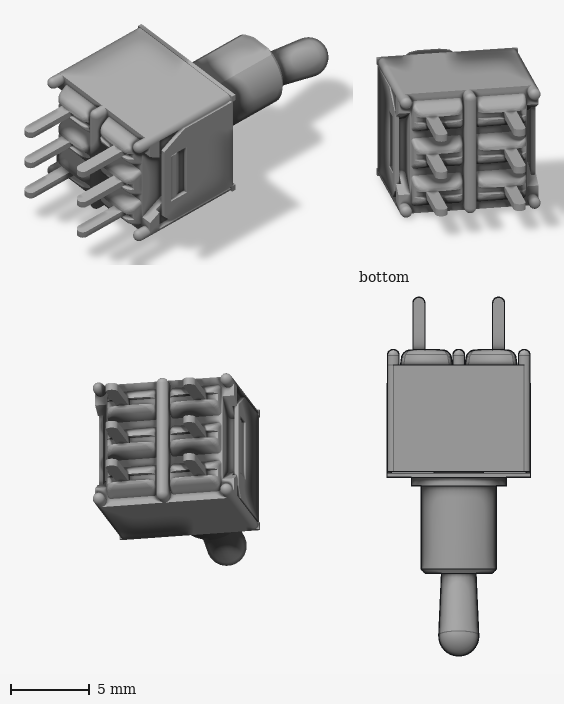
import cadquery as cq
import math


CASE_LENGTH = 6.78
CASE_HALF_HEIGHT = 4.07
POST_DIAMETER = 0.75
CORNER_RADIUS = POST_DIAMETER / 2
STANDOFF = 0.62

BRACKET_WIDTH = 9.14
BRACKET_HEIGHT = 8.0
SHEET = 0.27
BEND_RADIUS = 0.35
BRACKET_GAP = 0.1
LEG_HALF_HEIGHT = 3.55
LEG_END = 1.16
UPPER_CLIP_START = 2.88
UPPER_CLIP_Z = 2.54
LOWER_CLIP_START = 1.78
LOWER_CLIP_Z = -2.9

BRACKET_OVERHANG = 0.02
CASE_HALF_WIDTH = BRACKET_WIDTH / 2 - BRACKET_OVERHANG
POST_X = CASE_HALF_WIDTH - CORNER_RADIUS
POST_Z = CASE_HALF_HEIGHT - CORNER_RADIUS
LEG_INNER = BRACKET_WIDTH / 2 - SHEET
PLATE_BACK = CASE_LENGTH + BRACKET_GAP
PLATE_FRONT = PLATE_BACK + SHEET
COLLAR_DIAMETER = 3.17

RECESS_START = 0.78
RECESS_FLOOR = LEG_INNER - BRACKET_GAP
NOTCH_FLOOR = 3.8
NOTCH_DEPTH = 1.71
NOTCH_MOUTH = 2.76
LATCH_HALF_HEIGHT = 1.75
LATCH_CREST = 2.22
LATCH_TOP = 2.79
LATCH_RISE = 0.3
NOTCH_FILLET = 0.25
WINDOW_HALF_HEIGHT = 1.92
WINDOW_TOP = 3.05

WASHER_DIAMETER = 6.05
WASHER_THICKNESS = 0.55
BUSHING_DIAMETER = 4.8
BUSHING_Z = -0.07
BUSHING_END = 13.27
BUSHING_CHAMFER = 0.27
BUSHING_FLAT_Z = 1.95
WASHER_END = PLATE_FRONT + WASHER_THICKNESS
LEVER_PIVOT = 10.0
LEVER_TILT = 11.9
LEVER_LENGTH = 7.4
LEVER_ROOT_RADIUS = 0.95
LEVER_BALL_RADIUS = 1.28

PITCH = 2.54
PIN_TIP = 4.32
PIN_WIDTH = 0.78
PIN_THICKNESS = 0.45
SLOT_FLOOR = 0.55
MOUND_X = 2.05
MOUND_WIDTH = 3.31
MOUND_HEIGHT = 2.05
MOUND_DEPTH = 1.0
MOUND_EDGE_DEPTH = 0.9
MOUND_SIDE_ANGLE = 28.0
MOUND_END_ANGLE = 8.0
MOUND_END_ROUND = 0.6
MOUND_SIDE_ROUND = 0.65
MOUND_CORNER = 0.23


def block(x, y, z):
    """Box from (low, high) pairs along each axis."""
    size = (x[1] - x[0], y[1] - y[0], z[1] - z[0])
    return cq.Workplane("XY").box(*size, centered=False).translate((x[0], y[0], z[0]))


def rod(diameter, y_start, y_end, x=0, z=0):
    """Cylinder along Y."""
    plane = cq.Workplane(cq.Plane((x, y_start, z), (1, 0, 0), (0, 1, 0)))
    return plane.circle(diameter / 2).extrude(y_end - y_start)


def rod_along_z(radius, x, y, half_length):
    """Cylinder along Z, centred on Z = 0."""
    return cq.Workplane("XY", origin=(x, y, -half_length)).circle(radius).extrude(2 * half_length)


def side_prism(points, x_inner, x_outer):
    """Prism along +X from a (Y, Z) outline."""
    return cq.Workplane("YZ", origin=(x_inner, 0, 0)).polyline(points).close().extrude(x_outer - x_inner)


def both_sides(shape):
    """The shape together with its mirror image across X = 0."""
    return shape.union(shape.mirror("YZ"))


def casing():
    """Block with rounded edges; each side has a bracket recess, a notch and a latch."""
    body = block(
        (-CASE_HALF_WIDTH, CASE_HALF_WIDTH), (0, CASE_LENGTH), (-CASE_HALF_HEIGHT, CASE_HALF_HEIGHT)
    ).edges("|Y").fillet(CORNER_RADIUS)
    recess = block((RECESS_FLOOR, BRACKET_WIDTH / 2), (RECESS_START, CASE_LENGTH), (-POST_Z, POST_Z))
    notch = side_prism(
        [
            (0, -NOTCH_MOUTH),
            (0, NOTCH_MOUTH),
            (NOTCH_DEPTH, LATCH_HALF_HEIGHT),
            (NOTCH_DEPTH, -LATCH_HALF_HEIGHT),
        ],
        NOTCH_FLOOR,
        BRACKET_WIDTH / 2,
    )
    notch = notch.faces(">Y").edges("<X").fillet(NOTCH_FILLET)
    latch = (
        cq.Workplane("XY", origin=(0, 0, -LATCH_HALF_HEIGHT))
        .moveTo(RECESS_FLOOR, NOTCH_DEPTH)
        .lineTo(RECESS_FLOOR + LATCH_RISE, NOTCH_DEPTH)
        .lineTo(RECESS_FLOOR + LATCH_RISE, LATCH_CREST)
        .lineTo(RECESS_FLOOR, LATCH_TOP)
        .close()
        .extrude(2 * LATCH_HALF_HEIGHT)
    )
    return body.cut(both_sides(recess.union(notch))).union(both_sides(latch))


def posts():
    """Four corner posts and a central staple, all with round ends."""
    web = block((-CORNER_RADIUS, CORNER_RADIUS), (-STANDOFF, RECESS_START), (-POST_Z, POST_Z))
    staple = rod_along_z(CORNER_RADIUS, 0, -STANDOFF, POST_Z).union(web)
    for x in (-POST_X, 0, POST_X):
        for z in (-POST_Z, POST_Z):
            ball = cq.Workplane("XY").sphere(CORNER_RADIUS).translate((x, -STANDOFF, z))
            staple = staple.union(rod(POST_DIAMETER, -STANDOFF, RECESS_START, x, z)).union(ball)
    return staple


def bracket():
    """Front plate with a bent leg along each side of the casing."""
    half_width = BRACKET_WIDTH / 2
    half_height = BRACKET_HEIGHT / 2
    plate = block((-half_width, half_width), (PLATE_BACK, PLATE_FRONT), (-half_height, half_height))
    bend_zone = block(
        (LEG_INNER, half_width),
        (PLATE_FRONT - BEND_RADIUS, PLATE_FRONT),
        (-LEG_HALF_HEIGHT, LEG_HALF_HEIGHT),
    )
    bend_core = rod_along_z(
        BEND_RADIUS, half_width - BEND_RADIUS, PLATE_FRONT - BEND_RADIUS, LEG_HALF_HEIGHT
    )
    bend_waste = bend_zone.cut(bend_core)
    plate = plate.cut(both_sides(bend_waste))
    leg = side_prism(
        [
            (PLATE_BACK, LEG_HALF_HEIGHT),
            (UPPER_CLIP_START, LEG_HALF_HEIGHT),
            (LEG_END, UPPER_CLIP_Z),
            (LEG_END, LOWER_CLIP_Z),
            (LOWER_CLIP_START, -LEG_HALF_HEIGHT),
            (PLATE_BACK, -LEG_HALF_HEIGHT),
        ],
        LEG_INNER,
        half_width,
    ).cut(bend_waste)
    window = block(
        (LEG_INNER, half_width), (NOTCH_DEPTH, WINDOW_TOP), (-WINDOW_HALF_HEIGHT, WINDOW_HALF_HEIGHT)
    )
    return plate.union(both_sides(leg.cut(window)))


def bushing():
    """Bushing with a flat towards +Z, its washer, and the collar behind the front plate."""
    sleeve = rod(BUSHING_DIAMETER, WASHER_END, BUSHING_END, z=BUSHING_Z).faces(">Y").chamfer(BUSHING_CHAMFER)
    flat = block(
        (-BUSHING_DIAMETER, BUSHING_DIAMETER), (WASHER_END, BUSHING_END), (BUSHING_FLAT_Z, BUSHING_DIAMETER)
    )
    collar = rod(COLLAR_DIAMETER, CASE_LENGTH, PLATE_BACK)
    washer = rod(WASHER_DIAMETER, PLATE_FRONT, WASHER_END)
    return sleeve.cut(flat).union(washer).union(collar)


def lever():
    """Cone widening outwards that runs tangent into a ball end, tilted about the pivot."""
    flare = math.asin((LEVER_BALL_RADIUS - LEVER_ROOT_RADIUS) / LEVER_LENGTH)
    tangent_radius = LEVER_BALL_RADIUS * math.cos(flare)
    tangent_y = LEVER_LENGTH - LEVER_BALL_RADIUS * math.sin(flare)
    diagonal = LEVER_BALL_RADIUS / math.sqrt(2)
    stick = (
        cq.Workplane("XY")
        .lineTo(LEVER_ROOT_RADIUS, 0)
        .lineTo(tangent_radius, tangent_y)
        .threePointArc((diagonal, LEVER_LENGTH + diagonal), (0, LEVER_LENGTH + LEVER_BALL_RADIUS))
        .close()
        .revolve(360, (0, 0, 0), (0, 1, 0))
    )
    return stick.rotate((0, 0, 0), (1, 0, 0), -LEVER_TILT).translate((0, LEVER_PIVOT, 0))


def mound():
    """Sealing mound, tapered towards -Y, centred on X = 0 and Z = 0."""
    half_width = MOUND_WIDTH / 2
    half_height = MOUND_HEIGHT / 2
    end_width = half_width - MOUND_EDGE_DEPTH * math.tan(math.radians(MOUND_END_ANGLE))
    end_height = half_height - MOUND_DEPTH * math.tan(math.radians(MOUND_SIDE_ANGLE))
    lengthwise = (
        cq.Workplane("XY", origin=(0, 0, -half_height))
        .moveTo(-half_width, 0)
        .lineTo(half_width, 0)
        .lineTo(end_width, -MOUND_EDGE_DEPTH)
        .threePointArc((0, -MOUND_DEPTH), (-end_width, -MOUND_EDGE_DEPTH))
        .close()
        .extrude(MOUND_HEIGHT)
        .edges("|Z and (not >Y)")
        .fillet(MOUND_END_ROUND)
    )
    crosswise = (
        cq.Workplane("YZ", origin=(-half_width, 0, 0))
        .polyline(
            [(0, -half_height), (0, half_height), (-MOUND_DEPTH, end_height), (-MOUND_DEPTH, -end_height)]
        )
        .close()
        .extrude(MOUND_WIDTH)
        .faces("<Y")
        .edges("|X")
        .fillet(MOUND_SIDE_ROUND)
    )
    shape = lengthwise.intersect(crosswise)
    seams = shape.edges("(not |X) and (not |Z)")
    slot = block(
        (-half_width, half_width), (-MOUND_DEPTH, -SLOT_FLOOR), (-PIN_THICKNESS / 2, PIN_THICKNESS / 2)
    )
    return seams.fillet(MOUND_CORNER).cut(slot)


def pin():
    """Flat pin with a round tip, rooted at the terminal face."""
    half_thickness = PIN_THICKNESS / 2
    tip_centre = PIN_TIP - PIN_WIDTH / 2
    shank = block(
        (PITCH - PIN_WIDTH / 2, PITCH + PIN_WIDTH / 2), (-tip_centre, 0), (-half_thickness, half_thickness)
    )
    return shank.union(rod_along_z(PIN_WIDTH / 2, PITCH, -tip_centre, half_thickness))


row_of_contacts = both_sides(pin().union(mound().translate((MOUND_X, 0, 0))))
result = casing().union(posts()).union(bracket()).union(bushing()).union(lever())
for row in (-1, 0, 1):
    result = result.union(row_of_contacts.translate((0, 0, row * PITCH)))